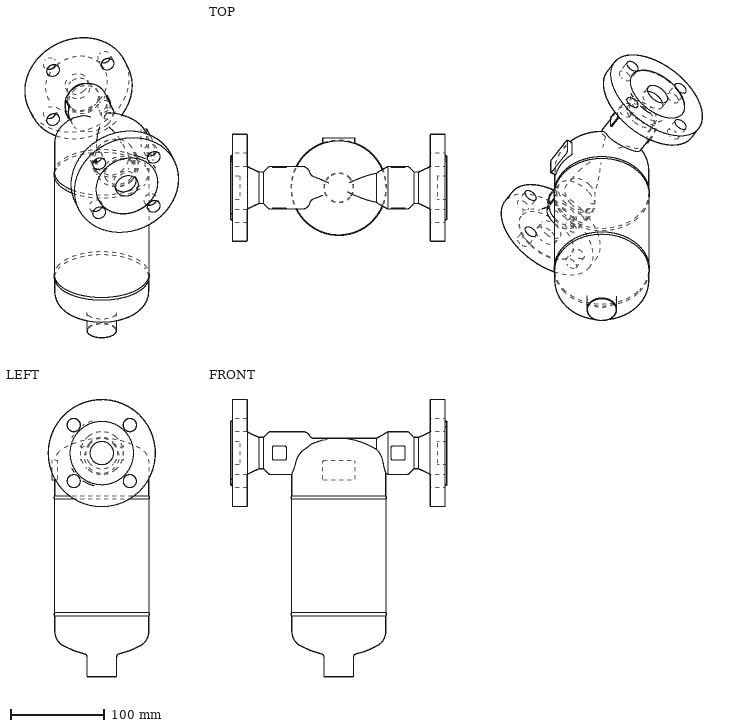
import cadquery as cq
import math


cap_radius = 101.0 / 2
shell_radius = 101.6 / 2
crown_radius = 84.0
knuckle_radius = 17.5
pipe_radius = 32.0 / 2
top_apex_z = pipe_radius
upper_weld_z = -47.5
lower_weld_z = -172.7
weld_height = 3.5
weld_crown = 0.35
lower_cap_straight = 16.7

spout_radius = 32.0 / 2
spout_end_z = -240.0
spout_fillet = 3.0
spout_edge_chamfer = 0.6

port_radius = 46.0 / 2
port_outer_x = 74.6
inlet_inner_x = -38.2
inlet_round = 8.0
inlet_throat_round = 4.0
outlet_inner_x = 52.6
outlet_cone_angle = 30.0
neck_radius = 34.0 / 2
port_edge_fillet = 2.5
pad_size = 15.0
pad_center_x = 63.7
pad_corner_radius = 1.5

face_x = 116.0
flange_radius = 115.0 / 2
flange_thickness = 16.0
raised_height = 2.0
raised_tip_radius = 68.0 / 2
hub_root_radius = 22.8
hub_neck_x = 85.6
hub_root_fillet = 2.0
flange_edge_fillet = 1.0
bolt_circle_radius = 85.0 / 2
bolt_hole_diameter = 14.0
bolt_count = 4
bore_diameter = 25.0
bore_depth = 10.0

plate_width = 34.5
plate_outer_y = 53.5
plate_bottom_z = -29.0
plate_top_z = -8.0
plate_corner_radius = 1.5

knuckle_center_radius = cap_radius - knuckle_radius
crown_drop = math.sqrt((crown_radius - knuckle_radius) ** 2 - knuckle_center_radius ** 2)
dome_height = crown_radius - crown_drop
crown_half_angle = math.asin(knuckle_center_radius / (crown_radius - knuckle_radius))

match_tolerance = 0.001

back_x = face_x - raised_height - flange_thickness


def ring_edges(solid, radius, center_x):
    """Circular edges with the given radius, centered at the given X."""

    def matches(edge):
        same_radius = math.isclose(edge.radius(), radius, abs_tol=match_tolerance)
        same_place = math.isclose(edge.Center().x, center_x, abs_tol=match_tolerance)
        return same_radius and same_place

    return solid.edges("%CIRCLE").filter(matches)


def dished_solid(side_end_z, tangent_z, direction):
    """Cylindrical cap closed by a crown and knuckle that bulges along direction (+1 up, -1 down)."""
    crown_center_z = tangent_z - direction * crown_drop
    knuckle_mid_angle = (math.pi / 2 + crown_half_angle) / 2

    def crown_point(angle):
        return (crown_radius * math.sin(angle), crown_center_z + direction * crown_radius * math.cos(angle))

    knuckle_mid = (
        knuckle_center_radius + knuckle_radius * math.sin(knuckle_mid_angle),
        tangent_z + direction * knuckle_radius * math.cos(knuckle_mid_angle),
    )
    profile = (
        cq.Workplane("XZ")
        .moveTo(0, side_end_z)
        .lineTo(cap_radius, side_end_z)
        .lineTo(cap_radius, tangent_z)
        .threePointArc(knuckle_mid, crown_point(crown_half_angle))
        .threePointArc(crown_point(crown_half_angle / 2), crown_point(0))
        .close()
    )
    return profile.revolve(360, (0, 0), (0, 1))


def vertical_cylinder(radius, bottom_z, top_z):
    return cq.Workplane("XY").workplane(offset=bottom_z).circle(radius).extrude(top_z - bottom_z)


def make_weld_bead(weld_z, upper_radius, lower_radius):
    """Low convex bead that covers the step between a cap and the shell."""
    upper_z = weld_z + weld_height / 2
    lower_z = weld_z - weld_height / 2
    profile = (
        cq.Workplane("XZ")
        .moveTo(0, lower_z)
        .lineTo(lower_radius, lower_z)
        .threePointArc((shell_radius + weld_crown, weld_z), (upper_radius, upper_z))
        .lineTo(0, upper_z)
        .close()
    )
    return profile.revolve(360, (0, 0), (0, 1))


def make_body():
    """Shell between two dished caps, with the drain spout below; the welds cover the cap joints."""
    upper_cap = dished_solid(upper_weld_z, top_apex_z - dome_height, 1)
    lower_tangent_z = lower_weld_z - weld_height / 2 - lower_cap_straight
    lower_cap = dished_solid(lower_weld_z, lower_tangent_z, -1)
    spout = (
        vertical_cylinder(spout_radius, spout_end_z, lower_tangent_z)
        .faces("<Z")
        .chamfer(spout_edge_chamfer)
    )
    lower_end = lower_cap.union(spout)
    joint_z = lower_tangent_z + crown_drop - math.sqrt(crown_radius**2 - spout_radius**2)
    joint = lower_end.edges(cq.selectors.NearestToPointSelector((0, 0, joint_z)))
    lower_end = joint.fillet(spout_fillet)
    shell = vertical_cylinder(shell_radius, lower_weld_z, upper_weld_z)
    body = upper_cap.union(shell).union(lower_end)
    upper_bead = make_weld_bead(upper_weld_z, cap_radius, shell_radius)
    lower_bead = make_weld_bead(lower_weld_z, shell_radius, cap_radius)
    return body.union(upper_bead).union(lower_bead)


def revolve_about_x(profile):
    return profile.close().revolve(360, (0, 0), (1, 0))


def make_port(side, profile):
    """Finish a port profile, already drawn up to its rim, with the weld bevel and neck."""
    bevel = port_radius - neck_radius
    profile = (
        profile.lineTo(side * port_outer_x, port_radius)
        .lineTo(side * (port_outer_x + bevel), neck_radius)
        .lineTo(side * hub_neck_x, neck_radius)
        .lineTo(side * hub_neck_x, 0)
    )
    port = revolve_about_x(profile)
    return ring_edges(port, port_radius, side * port_outer_x).fillet(port_edge_fillet)


def make_inlet_port():
    """Port on the -X side, rounded down to the pipe by a convex and then a concave arc."""
    radius_sum = inlet_round + inlet_throat_round
    turn = math.acos(1 - (port_radius - pipe_radius) / radius_sum)
    throat_x = inlet_inner_x + radius_sum * math.sin(turn)

    def round_point(angle):
        x = inlet_inner_x + inlet_round * math.sin(angle)
        return (x, port_radius - inlet_round * (1 - math.cos(angle)))

    def throat_point(angle):
        x = throat_x - inlet_throat_round * math.sin(angle)
        return (x, pipe_radius + inlet_throat_round * (1 - math.cos(angle)))

    profile = (
        cq.Workplane("XY")
        .moveTo(throat_x, 0)
        .lineTo(throat_x, pipe_radius)
        .threePointArc(throat_point(turn / 2), throat_point(turn))
        .threePointArc(round_point(turn / 2), round_point(0))
    )
    return make_port(-1, profile)


def make_outlet_port():
    """Port on the +X side, reduced to the pipe by a plain cone."""
    cone_length = (port_radius - pipe_radius) / math.tan(math.radians(outlet_cone_angle))
    cone_start_x = outlet_inner_x - cone_length
    profile = (
        cq.Workplane("XY")
        .moveTo(cone_start_x, 0)
        .lineTo(cone_start_x, pipe_radius)
        .lineTo(outlet_inner_x, port_radius)
    )
    return make_port(1, profile)


def make_pipe():
    """Straight pipe through the body that joins the two ports."""
    return cq.Workplane("YZ").workplane(offset=inlet_inner_x).circle(pipe_radius).extrude(
        outlet_inner_x - inlet_inner_x
    )


def make_pads(side):
    """Flat rounded square pads, tangent to the port on its front and back."""
    return (
        cq.Workplane("XY")
        .box(pad_size, 2 * port_radius, pad_size)
        .edges("|Y")
        .fillet(pad_corner_radius)
        .translate((side * pad_center_x, 0, 0))
    )


def make_flange(side):
    """Weld-neck flange whose raised face runs out to the rim in a quarter-round fillet."""
    rim_x = face_x - raised_height
    raised_base_radius = raised_tip_radius + raised_height
    root_offset = raised_height * math.cos(math.pi / 4)
    root_mid = (side * (face_x - root_offset), raised_base_radius - root_offset)
    profile = (
        cq.Workplane("XY")
        .moveTo(side * hub_neck_x, 0)
        .lineTo(side * hub_neck_x, neck_radius)
        .lineTo(side * back_x, hub_root_radius)
        .lineTo(side * back_x, flange_radius)
        .lineTo(side * rim_x, flange_radius)
        .lineTo(side * rim_x, raised_base_radius)
        .threePointArc(root_mid, (side * face_x, raised_tip_radius))
        .lineTo(side * face_x, 0)
    )
    flange = revolve_about_x(profile)
    flange = ring_edges(flange, hub_root_radius, side * back_x).fillet(hub_root_fillet)
    flange = ring_edges(flange, flange_radius, side * back_x).fillet(flange_edge_fillet)
    holes = (
        cq.Workplane("YZ")
        .polarArray(bolt_circle_radius, 180 / bolt_count, 360, bolt_count)
        .circle(bolt_hole_diameter / 2)
        .extrude(side * face_x)
    )
    return flange.cut(holes)


def make_bore(side):
    return (
        cq.Workplane("YZ")
        .workplane(offset=side * face_x)
        .circle(bore_diameter / 2)
        .extrude(-side * bore_depth)
    )


def make_nameplate():
    plate = cq.Workplane("XY").box(
        plate_width, plate_outer_y, plate_top_z - plate_bottom_z, centered=(True, False, False)
    )
    plate = plate.edges("|Y").fillet(plate_corner_radius)
    return plate.translate((0, 0, plate_bottom_z))


result = make_body().union(make_pipe()).union(make_nameplate())
for port in (make_inlet_port(), make_outlet_port()):
    result = result.union(port)
for side in (-1, 1):
    result = result.union(make_pads(side)).union(make_flange(side)).cut(make_bore(side))